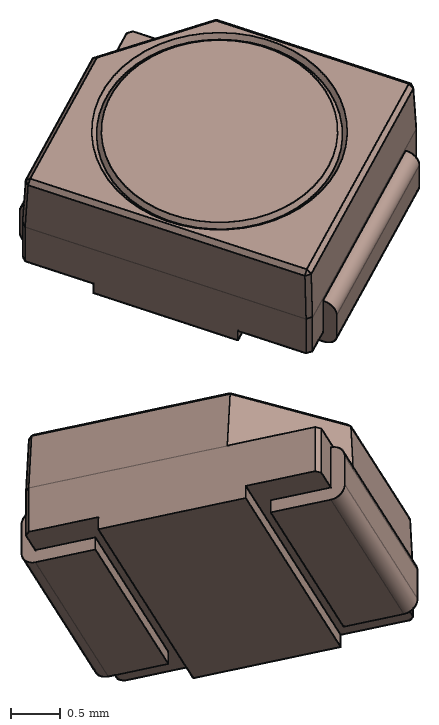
import cadquery as cq
import math

LENGTH = 3.5
WIDTH = 2.8
HEIGHT = 1.4

LEAD_THICKNESS = 0.15
LEAD_WIDTH = 2.15
LEAD_TOP = 0.65
LEAD_INNER_END = 0.95

HOUSING_LENGTH = LENGTH - 2 * LEAD_THICKNESS
SEAM_HEIGHT = 0.7
DRAFT_ANGLE = 2.0
EDGE_CHAMFER = 0.05
CORNER_CUT_LEG = 1.0
FOOT_GAP = 0.15
PAD_LENGTH = 2 * (LEAD_INNER_END - FOOT_GAP)

GROOVE_DIAMETER = 2.5
GROOVE_DEPTH = 0.05
GROOVE_HALF_WIDTH = GROOVE_DEPTH


def make_base():
    """Straight lower half of the housing, with the central pad below it."""
    base = (
        cq.Workplane("XY", origin=(0, 0, LEAD_THICKNESS))
        .rect(HOUSING_LENGTH, WIDTH)
        .extrude(SEAM_HEIGHT - LEAD_THICKNESS)
        .edges("|Z")
        .chamfer(EDGE_CHAMFER)
    )
    pad = cq.Workplane("XY").rect(PAD_LENGTH, WIDTH).extrude(LEAD_THICKNESS)
    return base.union(pad)


def make_corner_cutter():
    """Vertical prism that removes the (-X, +Y) corner above the seam."""
    corner_x = -HOUSING_LENGTH / 2
    corner_y = WIDTH / 2
    return (
        cq.Workplane("XY", origin=(0, 0, SEAM_HEIGHT))
        .moveTo(corner_x, corner_y)
        .lineTo(corner_x + CORNER_CUT_LEG, corner_y)
        .lineTo(corner_x, corner_y - CORNER_CUT_LEG)
        .close()
        .extrude(HEIGHT - SEAM_HEIGHT)
    )


def make_top():
    """Drafted upper half with chamfered edges and the polarity corner cut."""
    drafted = (
        cq.Workplane("XY", origin=(0, 0, SEAM_HEIGHT))
        .rect(HOUSING_LENGTH, WIDTH)
        .extrude(HEIGHT - SEAM_HEIGHT, taper=DRAFT_ANGLE)
        .cut(make_corner_cutter())
    )
    right_corners = drafted.faces(">X").edges("not #Z")
    front_left_corner = drafted.faces("<Y").edges("not #Z").edges("<X")
    rim = drafted.faces(">Z").edges()
    return rim.add(right_corners).add(front_left_corner).chamfer(EDGE_CHAMFER)


def make_groove():
    """Ring of triangular section, pointing down from the top face."""
    radius = GROOVE_DIAMETER / 2
    return (
        cq.Workplane("XZ")
        .moveTo(radius - GROOVE_HALF_WIDTH, HEIGHT)
        .lineTo(radius, HEIGHT - GROOVE_DEPTH)
        .lineTo(radius + GROOVE_HALF_WIDTH, HEIGHT)
        .close()
        .revolve(360, (0, 0, 0), (0, 1, 0))
    )


def make_housing():
    return make_base().union(make_top()).cut(make_groove())


def make_lead(side):
    """L-shaped lead with rounded outer corners; side is -1 or +1 along X."""
    outer = side * LENGTH / 2
    wall = side * HOUSING_LENGTH / 2
    tip = side * LEAD_INNER_END
    radius = LEAD_THICKNESS
    arc_reach = radius * math.sqrt(0.5)
    arc_middle_x = wall + side * arc_reach
    return (
        cq.Workplane("XZ")
        .moveTo(tip, 0)
        .lineTo(wall, 0)
        .threePointArc((arc_middle_x, radius - arc_reach), (outer, radius))
        .lineTo(outer, LEAD_TOP - radius)
        .threePointArc((arc_middle_x, LEAD_TOP - radius + arc_reach), (wall, LEAD_TOP))
        .lineTo(wall, LEAD_THICKNESS)
        .lineTo(tip, LEAD_THICKNESS)
        .close()
        .extrude(LEAD_WIDTH / 2, both=True)
    )


housing = make_housing()
leads = [make_lead(side) for side in (-1, 1)]

result = cq.Compound.makeCompound([housing.val(), *[lead.val() for lead in leads]])